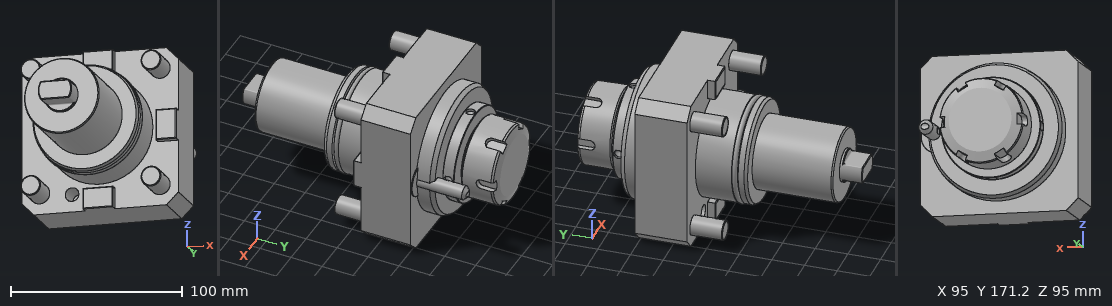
import cadquery as cq
import math


plate_side = 95.0
plate_back_y = 32.0
plate_middle_y = plate_back_y / 2
plate_corner_chamfer = 7.2

boss_radius = 32.0
boss_end_y = -31.7
boss_chamfer_length = 1.9
boss_chamfer_depth = 1.0
shank_radius = 22.6
shank_end_y = -81.0
shank_chamfer_length = 1.0
shank_chamfer_depth = 0.5
tang_radius = 10.1
tang_end_y = -95.0
tang_half_thickness = 5.5
tang_collar_length = 1.9
tang_collar_chamfer = 0.5
tang_root_fillet = 0.9
tang_edge_fillet = 1.0
tang_end_chamfer = 0.5

seal_cord_radius = 1.63
seal_outer_radius = 32.5
seal_center_radius = seal_outer_radius - seal_cord_radius
groove_back_y = -22.1
groove_width = 4.1
groove_floor_radius = seal_outer_radius - 2 * seal_cord_radius
seal_y = groove_back_y - seal_cord_radius

flange_radius = 40.0
flange_face_y = 43.5
flange_chamfer_length = 2.7
flange_chamfer_depth = 1.5
ring_radius = 29.8
ring_front_y = 44.2
ring_back_y = 51.5
ring_chamfer = 0.3
relief_radius = 25.7
neck_radius = 20.2
nut_radius = 25.2
nut_front_y = 53.8
nut_back_y = 76.2
nut_front_chamfer = 0.9
nut_face_radius = 18.8
nut_cone_radius = 24.7
nut_cone_y = 74.5
nut_rim_y = 73.1

spanner_hole_count = 4
spanner_hole_radius = 2.7
spanner_hole_depth = 1.7
spanner_cone_depth = 1.5

slot_count = 6
slot_width = 6.3
slot_end_y = 63.7
long_slot_end_y = 59.8
long_slot_index = 2
slot_floor_radius = 21.8

key_width = 18.2
key_inner_offset = 35.1
key_height = 5.0
key_chamfer = 0.5
key_angles = (0, 90, 270)

bolt_radius = 6.0
bolt_length = 19.9
bolt_chamfer = 0.5
bolt_x = 36.5
bolt_z = 35.1

coolant_hole_radius = 4.1
coolant_hole_x = -17.0
coolant_hole_z = -37.0
coolant_hole_depth = plate_middle_y

pin_radius = 4.3
pin_x = 36.5
pin_end_y = 64.2
pin_chamfer = 2.4
pin_collar_radius = 10.3
pin_collar_height = 0.7


def cylinder(radius, start_y, end_y, x=0, z=0):
    """Cylinder along Y from start_y to a larger end_y."""
    return cq.Workplane("XY").add(
        cq.Solid.makeCylinder(radius, end_y - start_y, cq.Vector(x, start_y, z), cq.Vector(0, 1, 0))
    )


def box(x_range, y_range, z_range):
    """Box given by its lower and upper bound on each axis."""
    return (
        cq.Workplane("XY")
        .box(
            x_range[1] - x_range[0],
            y_range[1] - y_range[0],
            z_range[1] - z_range[0],
            centered=False,
        )
        .translate((x_range[0], y_range[0], z_range[0]))
    )


def turn_about_axis(shape, angle):
    return shape.rotate((0, 0, 0), (0, 1, 0), angle)


def make_plate():
    plate = box(
        (-plate_side / 2, plate_side / 2), (0, plate_back_y), (-plate_side / 2, plate_side / 2)
    )
    return plate.edges("|Y").chamfer(plate_corner_chamfer)


def make_turned_core():
    """Boss, shank, flange, ring, neck and nut as one revolved profile."""
    groove_front_y = groove_back_y - groove_width
    profile = [
        (0, shank_end_y),
        (shank_radius - shank_chamfer_depth, shank_end_y),
        (shank_radius, shank_end_y + shank_chamfer_length),
        (shank_radius, boss_end_y),
        (boss_radius - boss_chamfer_depth, boss_end_y),
        (boss_radius, boss_end_y + boss_chamfer_length),
        (boss_radius, groove_front_y),
        (groove_floor_radius, groove_front_y),
        (groove_floor_radius, groove_back_y),
        (boss_radius, groove_back_y),
        (boss_radius, plate_middle_y),
        (flange_radius, plate_middle_y),
        (flange_radius, flange_face_y - flange_chamfer_length),
        (flange_radius - flange_chamfer_depth, flange_face_y),
        (relief_radius, flange_face_y),
        (relief_radius, ring_front_y),
        (ring_radius - ring_chamfer, ring_front_y),
        (ring_radius, ring_front_y + ring_chamfer),
        (ring_radius, ring_back_y - ring_chamfer),
        (ring_radius - ring_chamfer, ring_back_y),
        (neck_radius, ring_back_y),
        (neck_radius, nut_front_y),
        (nut_radius - nut_front_chamfer, nut_front_y),
        (nut_radius, nut_front_y + nut_front_chamfer),
        (nut_radius, nut_rim_y),
        (nut_cone_radius, nut_cone_y),
        (nut_face_radius, nut_back_y),
        (0, nut_back_y),
    ]
    return cq.Workplane("XY").polyline(profile).close().revolve(360, (0, 0, 0), (0, 1, 0))


def make_tang_collar():
    """Round collar at the foot of the drive tang, chamfered around its rim."""
    collar = cylinder(tang_radius, shank_end_y - tang_collar_length, shank_end_y)
    return collar.faces("<Y").chamfer(tang_collar_chamfer)


def make_tang_blade():
    """Flat-sided blade of the drive tang, rounded along the flats and chamfered at its end."""
    flats = box(
        (-tang_radius, tang_radius),
        (tang_end_y, shank_end_y),
        (-tang_half_thickness, tang_half_thickness),
    )
    blade = cylinder(tang_radius, tang_end_y, shank_end_y).intersect(flats)
    blade = blade.faces("<Z or >Z").edges("|Y").fillet(tang_edge_fillet)
    return blade.faces("<Y").chamfer(tang_end_chamfer)


def make_tang_root():
    """Concave fillets between the collar and the two flats, as one bar within the collar's rim."""
    collar_y = shank_end_y - tang_collar_length
    fillet_end_y = collar_y - tang_root_fillet
    foot_z = tang_half_thickness + tang_root_fillet
    arc_offset = tang_root_fillet * math.sqrt(0.5)
    arc_middle_y = fillet_end_y + arc_offset
    arc_middle_z = foot_z - arc_offset
    flat_half_width = math.sqrt(
        (tang_radius - tang_edge_fillet) ** 2 - (tang_half_thickness - tang_edge_fillet) ** 2
    )
    bar = (
        cq.Workplane("YZ")
        .moveTo(collar_y, -foot_z)
        .lineTo(collar_y, foot_z)
        .threePointArc((arc_middle_y, arc_middle_z), (fillet_end_y, tang_half_thickness))
        .lineTo(fillet_end_y, -tang_half_thickness)
        .threePointArc((arc_middle_y, -arc_middle_z), (collar_y, -foot_z))
        .close()
        .extrude(flat_half_width, both=True)
    )
    return bar.intersect(cylinder(tang_radius - tang_collar_chamfer, fillet_end_y, collar_y))


def make_tang():
    return make_tang_collar().union(make_tang_blade()).union(make_tang_root())


def make_key():
    """Key on the +X side of the plate, chamfered around its front face."""
    key = box(
        (key_inner_offset, plate_side / 2), (-key_height, 0), (-key_width / 2, key_width / 2)
    )
    return key.faces("<Y").chamfer(key_chamfer)


def make_bolt_end(x, z):
    bolt = cylinder(bolt_radius, -bolt_length, 0, x, z)
    return bolt.faces("<Y").chamfer(bolt_chamfer)


def make_locating_pin():
    pin = cylinder(pin_radius, plate_back_y, pin_end_y, pin_x).faces(">Y").chamfer(pin_chamfer)
    collar = cylinder(pin_collar_radius, plate_back_y, plate_back_y + pin_collar_height, pin_x)
    return pin.union(collar)


def make_nut_slot(end_y):
    """Cutter on the +X side of the nut, from a round end at end_y out through the nut's back face."""
    slot_radius = slot_width / 2
    end_center_y = end_y + slot_radius
    return (
        cq.Workplane("YZ", origin=(slot_floor_radius, 0, 0))
        .moveTo(nut_back_y, -slot_radius)
        .lineTo(end_center_y, -slot_radius)
        .threePointArc((end_y, 0), (end_center_y, slot_radius))
        .lineTo(nut_back_y, slot_radius)
        .close()
        .extrude(nut_radius)
    )


def make_spanner_hole():
    """Blind hole cutter with a conical bottom on the +X side of the ring."""
    wall_end = ring_radius - spanner_hole_depth
    tip = wall_end - spanner_cone_depth
    outside = ring_radius + spanner_hole_radius
    ring_middle_y = (ring_front_y + ring_back_y) / 2
    profile = [(tip, 0), (wall_end, spanner_hole_radius), (outside, spanner_hole_radius), (outside, 0)]
    cutter = cq.Workplane("XY").polyline(profile).close().revolve(360, (0, 0, 0), (1, 0, 0))
    return cutter.translate((0, ring_middle_y, 0))


def make_holder():
    holder = make_plate().union(make_turned_core()).union(make_tang()).union(make_locating_pin())
    for angle in key_angles:
        holder = holder.union(turn_about_axis(make_key(), angle))
    for x in (-bolt_x, bolt_x):
        for z in (-bolt_z, bolt_z):
            holder = holder.union(make_bolt_end(x, z))
    for index in range(slot_count):
        end_y = long_slot_end_y if index == long_slot_index else slot_end_y
        holder = holder.cut(turn_about_axis(make_nut_slot(end_y), index * 360 / slot_count))
    for index in range(spanner_hole_count):
        holder = holder.cut(turn_about_axis(make_spanner_hole(), index * 360 / spanner_hole_count))
    return holder.cut(
        cylinder(coolant_hole_radius, 0, coolant_hole_depth, coolant_hole_x, coolant_hole_z)
    )


def make_seal_ring():
    """O-ring resting on the groove floor against the groove's back wall."""
    return cq.Workplane("XY").add(
        cq.Solid.makeTorus(
            seal_center_radius, seal_cord_radius, cq.Vector(0, seal_y, 0), cq.Vector(0, 1, 0)
        )
    )


holder = make_holder()
seal_ring = make_seal_ring()
result = cq.Compound.makeCompound([holder.val(), seal_ring.val()])